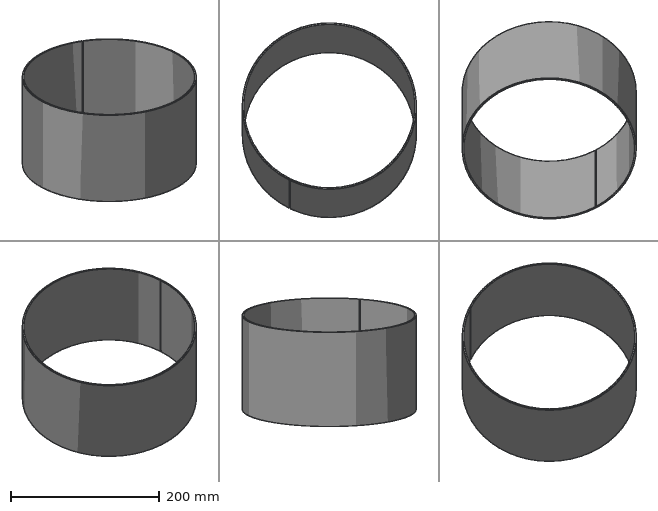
import cadquery as cq

outer_diameter = 235.0
wall_thickness = 2.5
height = 130.0
outer_chamfer = 0.5
inner_chamfer = 0.2
gap_angle = 1.0

outer_radius = outer_diameter / 2
inner_radius = outer_radius - wall_thickness


def wall_section():
    """Cross-section of the wall on the -X side, with all four corners chamfered."""
    mid_wall_radius = (outer_radius + inner_radius) / 2
    return (
        cq.Sketch()
        .push([(-mid_wall_radius, height / 2)])
        .rect(wall_thickness, height)
        .reset()
        .vertices("<X")
        .chamfer(outer_chamfer)
        .reset()
        .vertices(">X")
        .chamfer(inner_chamfer)
    )


def split_sleeve():
    """Section swept around Z from -X through -Y, stopping one gap short of a full turn."""
    sweep_angle = 360 - gap_angle
    return cq.Workplane("XZ").placeSketch(wall_section()).revolve(sweep_angle, (0, 0, 0), (0, 1, 0))


result = split_sleeve()